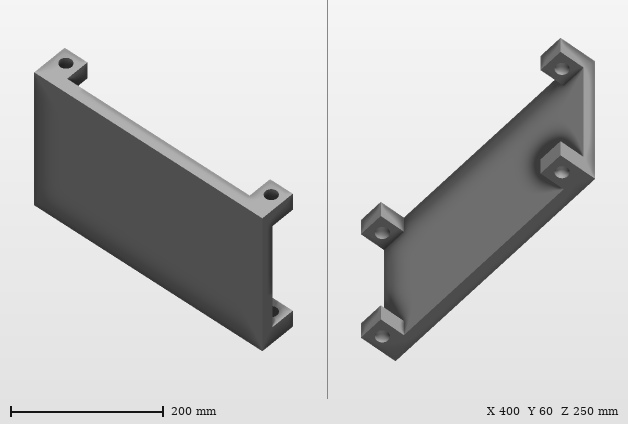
import cadquery as cq

width = 400.0
height = 250.0
plate_thickness = 20.0

lug_width = 40.0
lug_depth = 40.0
lug_height = 30.0
hole_diameter = 20.0

lug_x = (width - lug_width) / 2
lug_y = plate_thickness + lug_depth / 2
lug_z = (height - lug_height) / 2

result = cq.Workplane("XY").box(width, plate_thickness, height).translate((0, plate_thickness / 2, 0))


def drilled_lug(x_side, z_side):
    """Corner block with a vertical through hole."""
    lug = cq.Workplane("XY").box(lug_width, lug_depth, lug_height)
    lug = lug.faces(">Z").workplane().hole(hole_diameter)
    return lug.translate((x_side * lug_x, lug_y, z_side * lug_z))


for x_side in (-1, 1):
    for z_side in (-1, 1):
        result = result.union(drilled_lug(x_side, z_side))